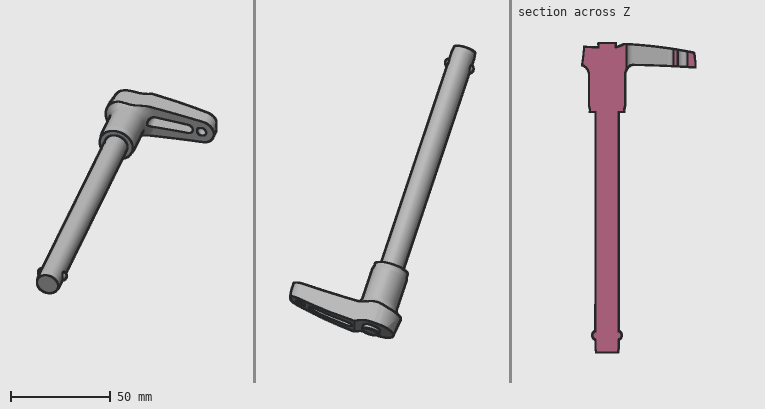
import cadquery as cq
import math

LENGTH = 155.7

PIN_R = 6.0
PIN_TIP_R = 5.6
PIN_TIP_TAPER = 2.6
BALL_R = 2.3
BALL_REACH = 7.5
BALL_Y = 8.7 - LENGTH
BUTTON_R = 4.5
BUTTON_RIM_INSET = 0.2
BUTTON_RIM_DROP = 0.5

COLLAR_R = 9.2
COLLAR_END_R = 8.7
COLLAR_TAPER_Y = -31.6
COLLAR_END_BAND_Y = -33.5
COLLAR_END_Y = -34.9
FLARE_R = 5.0

HEAD_TOP_Y = -1.9
HEAD_BOTTOM_Y = -11.0
LEVER_START_X = 8.5
LEVER_TOP_Y = -0.5
STEP_START_X = 2.3
STEP_START_Y = -2.5
STEP_MID = (5.9, -1.7)
LEVER_TOP_MID = (26.3, -2.0)
TIP_X = 44.5
TIP_TOP_X = 43.9
TIP_TOP_Y = -5.3
TIP_BEVEL = 0.5
TIP_SIDE_Y = -9.3
TIP_BOTTOM_Y = -12.5
LEVER_BOTTOM_MID = (27.2, -11.5)

HEAD_BACK_X = -12.6
HEAD_ARC_X = -4.0
HEAD_ARC_HALF_W = 10.0
HEAD_WIDEST_X = -1.2
HEAD_HALF_W = 10.1
LEVER_TAPER_X = 1.2
LEVER_ROOT_HALF_W = 10.0
TIP_ARC_X = 39.0
TIP_HALF_W = 6.4

BACK_TOP_R = 11.6
BACK_FULL_Y = -10.9

SLOT_START_X = 9.8
SLOT_END_X = 33.3
SLOT_START_R = 3.1
SLOT_END_R = 2.57
HOLE_X = 38.0
HOLE_R = 2.41

BLANK_TOP_Y = 1.5
BLANK_DEPTH = 39.0
BLANK_HALF_Z = 15.5


def revolve_about_pin(profile):
    """Turn a closed (radius, Y) outline around the pin axis."""
    return profile.close().revolve(360, (0, 0, 0), (0, 1, 0))


def extrude_down(plan):
    """Extrude an (X, -Z) plan through the full depth of the handle and collar."""
    return plan.extrude(-BLANK_DEPTH)


def plan_plane():
    """Plane across the pin axis, above the handle; its local Y is -Z."""
    return cq.Workplane(cq.Plane((0, BLANK_TOP_Y, 0), (1, 0, 0), (0, 1, 0)))


def handle_plan():
    return extrude_down(
        plan_plane()
        .moveTo(HEAD_ARC_X, HEAD_ARC_HALF_W)
        .lineTo(HEAD_WIDEST_X, HEAD_HALF_W)
        .lineTo(LEVER_TAPER_X, LEVER_ROOT_HALF_W)
        .lineTo(TIP_ARC_X, TIP_HALF_W)
        .threePointArc((TIP_X, 0), (TIP_ARC_X, -TIP_HALF_W))
        .lineTo(LEVER_TAPER_X, -LEVER_ROOT_HALF_W)
        .lineTo(HEAD_WIDEST_X, -HEAD_HALF_W)
        .lineTo(HEAD_ARC_X, -HEAD_ARC_HALF_W)
        .threePointArc((HEAD_BACK_X, 0), (HEAD_ARC_X, HEAD_ARC_HALF_W))
        .close()
    )


def handle_side():
    return (
        cq.Workplane("XY")
        .moveTo(HEAD_BACK_X, HEAD_TOP_Y)
        .lineTo(STEP_START_X, STEP_START_Y)
        .threePointArc(STEP_MID, (LEVER_START_X, LEVER_TOP_Y))
        .threePointArc(LEVER_TOP_MID, (TIP_TOP_X - TIP_BEVEL, TIP_TOP_Y + TIP_BEVEL))
        .lineTo(TIP_TOP_X, TIP_TOP_Y)
        .lineTo(TIP_X, TIP_SIDE_Y)
        .lineTo(TIP_X, TIP_BOTTOM_Y)
        .threePointArc(LEVER_BOTTOM_MID, (LEVER_START_X, HEAD_BOTTOM_Y))
        .lineTo(HEAD_BACK_X, HEAD_BOTTOM_Y)
        .close()
        .extrude(BLANK_HALF_Z, both=True)
    )


def collar():
    flare_top_r = COLLAR_R + FLARE_R
    flare_end_y = HEAD_BOTTOM_Y - FLARE_R
    arc_offset = FLARE_R * math.sqrt(0.5)
    return revolve_about_pin(
        cq.Workplane("XY")
        .moveTo(0, HEAD_BOTTOM_Y)
        .lineTo(flare_top_r, HEAD_BOTTOM_Y)
        .threePointArc(
            (flare_top_r - arc_offset, flare_end_y + arc_offset),
            (COLLAR_R, flare_end_y),
        )
        .lineTo(COLLAR_R, COLLAR_TAPER_Y)
        .lineTo(COLLAR_END_R, COLLAR_END_BAND_Y)
        .lineTo(COLLAR_END_R, COLLAR_END_Y)
        .lineTo(0, COLLAR_END_Y)
    )


def back_cone():
    """Cone that trims the head behind the pin, joined to a block that spares the lever."""
    cone = revolve_about_pin(
        cq.Workplane("XY")
        .moveTo(0, HEAD_TOP_Y)
        .lineTo(BACK_TOP_R, HEAD_TOP_Y)
        .lineTo(-HEAD_BACK_X, BACK_FULL_Y)
        .lineTo(-HEAD_BACK_X, -BLANK_DEPTH)
        .lineTo(0, -BLANK_DEPTH)
    )
    lever_side = (
        cq.Workplane("XY")
        .box(TIP_X, BLANK_DEPTH, 2 * BLANK_HALF_Z, centered=(False, False, True))
        .translate((0, BLANK_TOP_Y - BLANK_DEPTH, 0))
    )
    return cone.union(lever_side)


def slot():
    """Tapered slot whose sides are tangent to both end arcs."""
    start_x = SLOT_START_X + SLOT_START_R
    end_x = SLOT_END_X - SLOT_END_R
    sine = (SLOT_START_R - SLOT_END_R) / (end_x - start_x)
    cosine = math.sqrt(1 - sine**2)
    start = (start_x + SLOT_START_R * sine, SLOT_START_R * cosine)
    end = (end_x + SLOT_END_R * sine, SLOT_END_R * cosine)
    return extrude_down(
        plan_plane()
        .moveTo(*start)
        .lineTo(*end)
        .threePointArc((SLOT_END_X, 0), (end[0], -end[1]))
        .lineTo(start[0], -start[1])
        .threePointArc((SLOT_START_X, 0), start)
        .close()
    )


def handle_and_collar():
    envelope = handle_plan().intersect(back_cone())
    upper = handle_side().union(collar()).intersect(envelope)
    hole = extrude_down(plan_plane().center(HOLE_X, 0).circle(HOLE_R))
    return upper.cut(slot()).cut(hole)


def pin_and_button():
    return revolve_about_pin(
        cq.Workplane("XY")
        .moveTo(0, 0)
        .lineTo(BUTTON_R - BUTTON_RIM_INSET, 0)
        .lineTo(BUTTON_R, -BUTTON_RIM_DROP)
        .lineTo(BUTTON_R, HEAD_BOTTOM_Y)
        .lineTo(PIN_R, HEAD_BOTTOM_Y)
        .lineTo(PIN_R, PIN_TIP_TAPER - LENGTH)
        .lineTo(PIN_TIP_R, -LENGTH)
        .lineTo(0, -LENGTH)
    )


result = handle_and_collar().union(pin_and_button())
for side in (-1, 1):
    ball_x = side * (BALL_REACH - BALL_R)
    result = result.union(cq.Workplane("XY").sphere(BALL_R).translate((ball_x, BALL_Y, 0)))